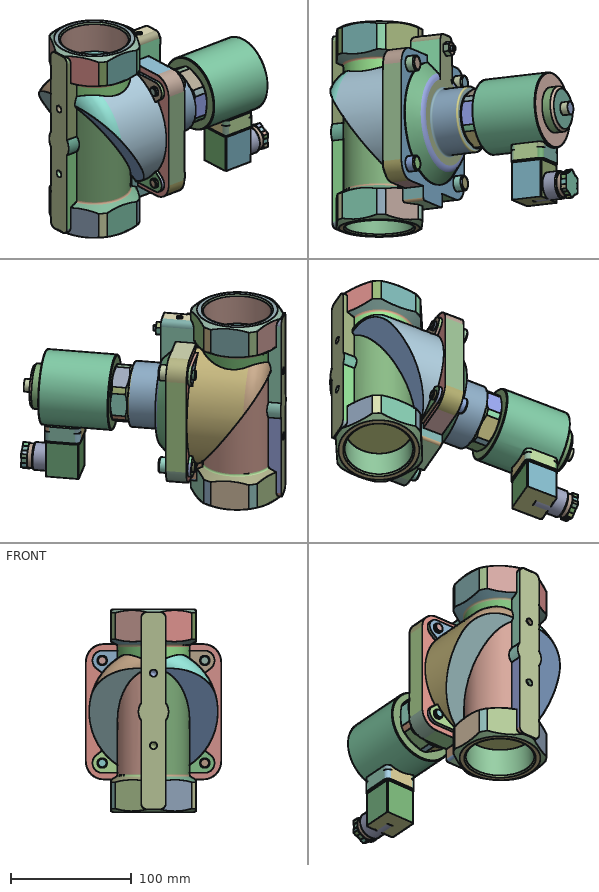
import cadquery as cq
import math


PIPE_LENGTH = 168.0
PIPE_DIA = 59.6
HEX_ACROSS_FLATS = 70.3
HEX_CORNER_DIA = 77.3
HEX_FACE_DIA = 66.8
HEX_INNER_Z = 54.0
HEX_ROOT_RADIUS = 2.0
HEX_CHAMFER_ANGLE = 30
BORE_DIA = 56.5
BORE_DEPTH = 26.5
BORE_CHAMFER = 1.3

RAIL_WIDTH = 20.5
RAIL_LENGTH = 163.0
RAIL_CORNER_RADIUS = 5.0
RAIL_BACK_Y = -HEX_CORNER_DIA / 2
RAIL_INNER_Y = -26.2
RAIL_BOSS_DIA = 25.0
RAIL_HOLE_DIA = 6.0
RAIL_HOLE_DEPTH = 4.4
RAIL_HOLE_SPACING = 59.9
RAIL_HOLE_MID_Z = 1.0
DRILL_POINT_ANGLE = 118

COVER_Z = -0.9

CHAMBER_DIA = 106.4
CHAMBER_BACK_Y = -30.1
CHAMBER_BACK_RADIUS = 16.0
CHAMBER_CUT_ANGLE = 55
CHAMBER_CUT_Y = -27.0
CHAMBER_CUT_Z = 30.8
CHAMBER_CUT_REACH = 131.0

FLANGE_WIDTH = 112.0
FLANGE_BACK_Y = 32.8
FLANGE_FRONT_Y = 50.0
FLANGE_CORNER_RADIUS = 15.0
BOLT_SPACING = 84.8
BOLT_HEAD_DIA = 13.0
BOLT_HEAD_HEIGHT = 7.9
BOLT_HEAD_CHAMFER = 1.0
BOLT_END_DIA = 8.0
BOLT_END_LENGTH = 2.6
BOLT_END_CHAMFER = 0.7
PAD_THICKNESS = 2.8
PAD_RADIUS = 8.0
PAD_EDGE_ANGLE = 39
PAD_EDGE_LENGTH = 15.3
PAD_INNER_X = 13.0

COVER_DIA = 101.8
COVER_FACE_Y = 62.5
COVER_STEP = 0.7
COVER_SLOPE_END_Y = 60.3

TOP_RIB_WIDTH = RAIL_WIDTH
TOP_RIB_Z = 73.0
TOP_RIB_RADIUS = 5.2
TOP_RIB_BACK_Y = 26.2
RIB_HOLE_Y = 48.5
RIB_HOLE_DIA = 5.0
RIB_HOLE_STEP_DEPTH = 0.9
RIB_HOLE_TIP_DIA = 2.5
RIB_HOLE_DEPTH = 4.4
BOTTOM_RIB_WIDTH = 33.6
BOTTOM_RIB_Z = -68.8
BOTTOM_RIB_RADIUS = 2.2

STUD_Z = 61.2
STUD_NUT_CORNER_DIA = 12.0
STUD_NUT_HEIGHT = 5.2
STUD_DIA = 5.0
STUD_LENGTH = 7.9
STUD_CHAMFER = 0.7

TUBE_DIA = 55.0
TUBE_END_Y = 87.4
TUBE_EDGE_RADIUS = 1.3
TUBE_ROOT_RADIUS = 1.7
TUBE_HEX_START_Y = 88.3
TUBE_HEX_ACROSS_FLATS = 45.9
TUBE_HEX_CORNER_DIA = 50.0
TUBE_HEX_FACE_DIA = 44.5

COIL_DIA = 63.0
COIL_BACK_Y = 102.9
COIL_FRONT_Y = 161.9
COIL_EDGE_CHAMFER = 0.7
CAP_DIA = 38.0
CAP_FRONT_Y = 171.7
CAP_CHAMFER = 2.2
STEM_DIA = 11.0
STEM_FRONT_Y = 178.5
BASE_LENGTH = 30.4
BASE_WIDTH = BASE_LENGTH
BASE_MID_Y = 144.6
BASE_TOP_Z = -30.0
BASE_SPLIT_Z = -34.5
BASE_BOTTOM_Z = -43.7
BASE_UPPER_RADIUS = 4.5
BASE_LOWER_RADIUS = 4.0

PLUG_LENGTH = 28.0
PLUG_COLLAR_LENGTH = 28.8
PLUG_COLLAR_HEIGHT = 1.3
PLUG_BOTTOM_Z = -76.5
PLUG_EDGE_CHAMFER = 0.9
GLAND_Z = -65.0
GLAND_DIA = 23.4
GLAND_FRONT_Y = 170.8
GLAND_CHAMFER = 1.0
GLAND_NECK_DIA = 20.8
GLAND_NUT_BACK_Y = 174.8
GLAND_NUT_FRONT_Y = 218.5 + RAIL_BACK_Y
GLAND_NUT_ACROSS_FLATS = 21.0
GLAND_NUT_CORNER_DIA = 24.7
GLAND_NOTCH_WIDTH = 4.5
GLAND_NOTCH_DEPTH = 0.5


def rod(diameter, y_start, y_end, x=0.0, z=COVER_Z):
    """Cylinder parallel to Y."""
    return (
        cq.Workplane("XZ", origin=(x, y_start, z))
        .circle(diameter / 2)
        .extrude(y_start - y_end)
    )


def block(width, y_start, y_end, z_start, z_end):
    """Box that is centred on X = 0."""
    return cq.Workplane("XY", origin=(0, (y_start + y_end) / 2, z_start)).box(
        width, y_end - y_start, z_end - z_start, centered=(True, True, False)
    )


def hexagon(across_flats, height):
    """Upright hexagonal prism from Z = 0 with its flats facing +X and -X."""
    corner_dia = across_flats / math.cos(math.radians(30))
    return (
        cq.Workplane("XY")
        .polygon(6, corner_dia)
        .extrude(height)
        .rotate((0, 0, 0), (0, 0, 1), 30)
    )


def turned(profile):
    """Solid of revolution about Z from (radius, z) points."""
    return (
        cq.Workplane("XZ")
        .polyline(profile)
        .close()
        .revolve(360, (0, 0, 0), (0, 1, 0))
    )


def lay_along_y(shape, y_start, z):
    """Turn a shape built up from Z = 0 so that it points to +Y from y_start; its +Y side faces -Z."""
    return shape.rotate((0, 0, 0), (1, 0, 0), -90).translate((0, y_start, z))


def pipe_end():
    """Hexagon at the top end, chamfered outside and inside, with a fillet down to the pipe."""
    corner = HEX_CORNER_DIA / 2
    face = HEX_FACE_DIA / 2
    neck = PIPE_DIA / 2
    end_z = PIPE_LENGTH / 2
    slope = math.tan(math.radians(HEX_CHAMFER_ANGLE))
    outer_edge_z = end_z - (corner - face) * slope
    inner_edge_z = HEX_INNER_Z + (corner - neck) * slope

    turn = math.radians(90 - HEX_CHAMFER_ANGLE)
    root_start_z = HEX_INNER_Z - HEX_ROOT_RADIUS * math.tan(turn / 2)

    def root_point(angle):
        return (
            neck + HEX_ROOT_RADIUS * (1 - math.cos(angle)),
            root_start_z + HEX_ROOT_RADIUS * math.sin(angle),
        )

    envelope = (
        cq.Workplane("XZ")
        .moveTo(0, root_start_z)
        .lineTo(neck, root_start_z)
        .threePointArc(root_point(turn / 2), root_point(turn))
        .lineTo(corner, inner_edge_z)
        .lineTo(corner, outer_edge_z)
        .lineTo(face, end_z)
        .lineTo(0, end_z)
        .close()
        .revolve(360, (0, 0, 0), (0, 1, 0))
    )
    return hexagon(HEX_ACROSS_FLATS, end_z).intersect(envelope)


def pipe_bore():
    """Blind bore at the top end with a chamfered mouth."""
    radius = BORE_DIA / 2
    end_z = PIPE_LENGTH / 2
    floor_z = end_z - BORE_DEPTH
    return turned([
        (0, floor_z),
        (radius, floor_z),
        (radius, end_z - BORE_CHAMFER),
        (radius + BORE_CHAMFER, end_z),
        (0, end_z),
    ])


def rail():
    """Rail with a round boss in the middle."""
    bar = block(RAIL_WIDTH, RAIL_BACK_Y, RAIL_INNER_Y, -RAIL_LENGTH / 2, RAIL_LENGTH / 2)
    bar = bar.edges("|Y").fillet(RAIL_CORNER_RADIUS)
    return bar.union(rod(RAIL_BOSS_DIA, RAIL_BACK_Y, RAIL_INNER_Y))


def rail_hole(z):
    """Blind drilled hole in the rail with a conical bottom."""
    radius = RAIL_HOLE_DIA / 2
    point_depth = radius / math.tan(math.radians(DRILL_POINT_ANGLE / 2))
    hole = turned([
        (0, 0),
        (radius, 0),
        (radius, RAIL_HOLE_DEPTH),
        (0, RAIL_HOLE_DEPTH + point_depth),
    ])
    return lay_along_y(hole, RAIL_BACK_Y, z)


def chamber():
    """Round chamber with a rounded back, cut off at a slant below."""
    drum = rod(CHAMBER_DIA, CHAMBER_BACK_Y, FLANGE_BACK_Y).faces("<Y").edges().fillet(CHAMBER_BACK_RADIUS)
    run = CHAMBER_CUT_REACH * math.cos(math.radians(CHAMBER_CUT_ANGLE))
    rise = CHAMBER_CUT_REACH * math.sin(math.radians(CHAMBER_CUT_ANGLE))
    wedge = (
        cq.Workplane("YZ")
        .polyline([
            (CHAMBER_CUT_Y - run, CHAMBER_CUT_Z + rise),
            (CHAMBER_CUT_Y + run, CHAMBER_CUT_Z - rise),
            (CHAMBER_CUT_Y - run, CHAMBER_CUT_Z - rise),
        ])
        .close()
        .extrude(CHAMBER_DIA, both=True)
    )
    return drum.cut(wedge)


def flange():
    return block(
        FLANGE_WIDTH,
        FLANGE_BACK_Y,
        FLANGE_FRONT_Y,
        COVER_Z - FLANGE_WIDTH / 2,
        COVER_Z + FLANGE_WIDTH / 2,
    ).edges("|Y").fillet(FLANGE_CORNER_RADIUS)


def cover():
    """Cover with a 45 degree slope, a rounded rim and the root fillet of the armature tube."""
    base = COVER_DIA / 2
    slope_start_y = FLANGE_FRONT_Y + COVER_STEP
    slope_end = base - (COVER_SLOPE_END_Y - slope_start_y)
    rim = COVER_FACE_Y - COVER_SLOPE_END_Y
    arc_radius = rim / (1 - math.cos(math.radians(45)))
    arc_mid_drop = arc_radius * (1 - math.cos(math.radians(22.5)))
    face = slope_end - arc_radius * math.sin(math.radians(45))
    arc_mid = face + arc_radius * math.sin(math.radians(22.5))
    tube = TUBE_DIA / 2
    root_end_y = COVER_FACE_Y + TUBE_ROOT_RADIUS
    root_inset = TUBE_ROOT_RADIUS * (1 - math.cos(math.radians(45)))
    profile = (
        cq.Workplane("XY")
        .moveTo(0, FLANGE_FRONT_Y)
        .lineTo(base, FLANGE_FRONT_Y)
        .lineTo(base, slope_start_y)
        .lineTo(slope_end, COVER_SLOPE_END_Y)
        .threePointArc((arc_mid, COVER_FACE_Y - arc_mid_drop), (face, COVER_FACE_Y))
        .lineTo(tube + TUBE_ROOT_RADIUS, COVER_FACE_Y)
        .threePointArc((tube + root_inset, COVER_FACE_Y + root_inset), (tube, root_end_y))
        .lineTo(0, root_end_y)
        .close()
    )
    return profile.revolve(360, (0, 0, 0), (0, 1, 0)).translate((0, 0, COVER_Z))


def bolt_and_pad(side_x, side_z):
    """Bolt head, bolt end and pad at one flange corner; each side is +1 or -1."""
    x = side_x * BOLT_SPACING / 2
    rise = side_z * BOLT_SPACING / 2
    z = COVER_Z + rise
    pad_back_y = FLANGE_BACK_Y - PAD_THICKNESS
    head = rod(BOLT_HEAD_DIA, FLANGE_FRONT_Y, FLANGE_FRONT_Y + BOLT_HEAD_HEIGHT, x, z)
    head = head.faces(">Y").chamfer(BOLT_HEAD_CHAMFER)
    end = rod(BOLT_END_DIA, pad_back_y - BOLT_END_LENGTH, pad_back_y, x, z)
    end = end.faces("<Y").chamfer(BOLT_END_CHAMFER)

    cos_edge = math.cos(math.radians(PAD_EDGE_ANGLE))
    sin_edge = math.sin(math.radians(PAD_EDGE_ANGLE))
    tangent_x = BOLT_SPACING / 2 + PAD_RADIUS * sin_edge
    tangent_z = BOLT_SPACING / 2 - PAD_RADIUS * cos_edge
    slope_x = tangent_x - PAD_EDGE_LENGTH * cos_edge
    slope_z = tangent_z - PAD_EDGE_LENGTH * sin_edge
    level_z = BOLT_SPACING / 2 + PAD_RADIUS
    outline = [
        (BOLT_SPACING / 2, BOLT_SPACING / 2),
        (BOLT_SPACING / 2, level_z),
        (PAD_INNER_X, level_z),
        (PAD_INNER_X, slope_z),
        (slope_x, slope_z),
        (tangent_x, tangent_z),
    ]
    web = (
        cq.Workplane("XZ", origin=(0, FLANGE_BACK_Y, COVER_Z))
        .polyline([(side_x * point_x, side_z * point_z) for point_x, point_z in outline])
        .close()
        .extrude(PAD_THICKNESS)
    )
    lobe = rod(2 * PAD_RADIUS, pad_back_y, FLANGE_BACK_Y, x, z)
    return head.union(lobe).union(web).union(end)


def top_rib():
    rib = block(TOP_RIB_WIDTH, TOP_RIB_BACK_Y, COVER_FACE_Y, COVER_Z, TOP_RIB_Z)
    return rib.faces(">Z").edges("|Y").fillet(TOP_RIB_RADIUS)


def rib_hole():
    """Small stepped hole in the top of the rib."""
    step = cq.Workplane("XY", origin=(0, RIB_HOLE_Y, TOP_RIB_Z)).circle(RIB_HOLE_DIA / 2)
    tip = cq.Workplane("XY", origin=(0, RIB_HOLE_Y, TOP_RIB_Z)).circle(RIB_HOLE_TIP_DIA / 2)
    return step.extrude(-RIB_HOLE_STEP_DEPTH).union(tip.extrude(-RIB_HOLE_DEPTH))


def bottom_rib():
    rib = block(BOTTOM_RIB_WIDTH, TOP_RIB_BACK_Y, FLANGE_FRONT_Y, BOTTOM_RIB_Z, COVER_Z)
    return rib.faces("<Z").edges("|Y").fillet(BOTTOM_RIB_RADIUS)


def earth_stud():
    """Chamfered hexagon nut on a stud that stands out from the front of the top rib."""
    nut_flats = STUD_NUT_CORNER_DIA * math.cos(math.radians(30))
    nut = lay_along_y(hexagon(nut_flats, STUD_NUT_HEIGHT), COVER_FACE_Y, STUD_Z)
    envelope = rod(STUD_NUT_CORNER_DIA, COVER_FACE_Y, COVER_FACE_Y + STUD_NUT_HEIGHT, z=STUD_Z)
    nut = nut.intersect(envelope.faces(">Y").chamfer(STUD_CHAMFER))
    stud = rod(STUD_DIA, COVER_FACE_Y, COVER_FACE_Y + STUD_LENGTH, z=STUD_Z)
    return nut.union(stud.faces(">Y").chamfer(STUD_CHAMFER))


def armature_tube():
    """Tube on the cover and the hexagon that carries the coil."""
    tube = rod(TUBE_DIA, COVER_FACE_Y, TUBE_END_Y).faces(">Y").edges().fillet(TUBE_EDGE_RADIUS)
    neck = rod(TUBE_HEX_FACE_DIA, TUBE_END_Y, TUBE_HEX_START_Y)
    height = COIL_BACK_Y - TUBE_HEX_START_Y
    corner = TUBE_HEX_CORNER_DIA / 2
    face = TUBE_HEX_FACE_DIA / 2
    chamfer = (corner - face) * math.tan(math.radians(30))
    envelope = turned([
        (0, 0),
        (face, 0),
        (corner, chamfer),
        (corner, height - chamfer),
        (face, height),
        (0, height),
    ])
    nut = hexagon(TUBE_HEX_ACROSS_FLATS, height).intersect(envelope)
    return tube.union(neck).union(lay_along_y(nut, TUBE_HEX_START_Y, COVER_Z))


def build_valve():
    valve = cq.Workplane("XY").circle(PIPE_DIA / 2).extrude(HEX_INNER_Z, both=True)
    for feature in (chamber(), flange(), cover(), rail(), top_rib(), bottom_rib(), armature_tube()):
        valve = valve.union(feature)
    for end in (pipe_end(), pipe_end().mirror("XY")):
        valve = valve.union(end)
    for side_x in (-1, 1):
        for side_z in (-1, 1):
            valve = valve.union(bolt_and_pad(side_x, side_z))
    valve = valve.union(earth_stud())
    for bore in (pipe_bore(), pipe_bore().mirror("XY")):
        valve = valve.cut(bore)
    for side_z in (-1, 1):
        valve = valve.cut(rail_hole(RAIL_HOLE_MID_Z + side_z * RAIL_HOLE_SPACING / 2))
    return valve.cut(rib_hole())


def terminal_base():
    """Rounded block below the coil whose corners are rounder at the top."""
    back_y = BASE_MID_Y - BASE_LENGTH / 2
    front_y = BASE_MID_Y + BASE_LENGTH / 2
    upper = block(BASE_WIDTH, back_y, front_y, BASE_SPLIT_Z, BASE_TOP_Z)
    lower = block(BASE_WIDTH, back_y, front_y, BASE_BOTTOM_Z, BASE_SPLIT_Z)
    return upper.edges("|Z").fillet(BASE_UPPER_RADIUS).union(lower.edges("|Z").fillet(BASE_LOWER_RADIUS))


def build_coil():
    coil = rod(COIL_DIA, COIL_BACK_Y, COIL_FRONT_Y).faces("<Y or >Y").chamfer(COIL_EDGE_CHAMFER)
    cap = rod(CAP_DIA, COIL_FRONT_Y, CAP_FRONT_Y).faces(">Y").chamfer(CAP_CHAMFER)
    stem = rod(STEM_DIA, CAP_FRONT_Y, STEM_FRONT_Y)
    return coil.union(cap).union(stem).union(terminal_base())


def gland_nut():
    """Hexagon nut with rounded corners and a shallow notch along the middle of each flat."""
    height = GLAND_NUT_FRONT_Y - GLAND_NUT_BACK_Y
    envelope = cq.Workplane("XY").circle(GLAND_NUT_CORNER_DIA / 2).extrude(height)
    nut = hexagon(GLAND_NUT_ACROSS_FLATS, height).intersect(envelope)
    notches = (
        cq.Workplane("XY")
        .polarArray(GLAND_NUT_ACROSS_FLATS / 2, 0, 360, 6)
        .rect(2 * GLAND_NOTCH_DEPTH, GLAND_NOTCH_WIDTH)
        .extrude(height)
    )
    return lay_along_y(nut.cut(notches), GLAND_NUT_BACK_Y, GLAND_Z)


def build_plug():
    front_y = BASE_MID_Y + PLUG_LENGTH / 2
    collar_front_y = BASE_MID_Y + PLUG_COLLAR_LENGTH / 2
    collar_z = BASE_BOTTOM_Z - PLUG_COLLAR_HEIGHT
    body = block(PLUG_LENGTH, front_y - PLUG_LENGTH, front_y, PLUG_BOTTOM_Z, collar_z)
    body = body.edges("|Z").chamfer(PLUG_EDGE_CHAMFER)
    collar = block(
        PLUG_COLLAR_LENGTH, collar_front_y - PLUG_COLLAR_LENGTH, collar_front_y, collar_z, BASE_BOTTOM_Z
    )
    collar = collar.edges("|Z").fillet(BASE_LOWER_RADIUS)
    gland = rod(GLAND_DIA, BASE_MID_Y, GLAND_FRONT_Y, z=GLAND_Z).faces(">Y").chamfer(GLAND_CHAMFER)
    neck = rod(GLAND_NECK_DIA, GLAND_FRONT_Y, GLAND_NUT_BACK_Y, z=GLAND_Z)
    return body.union(collar).union(gland).union(neck).union(gland_nut())


valve = build_valve()
coil = build_coil()
plug = build_plug()
result = cq.Compound.makeCompound([valve.val(), coil.val(), plug.val()])